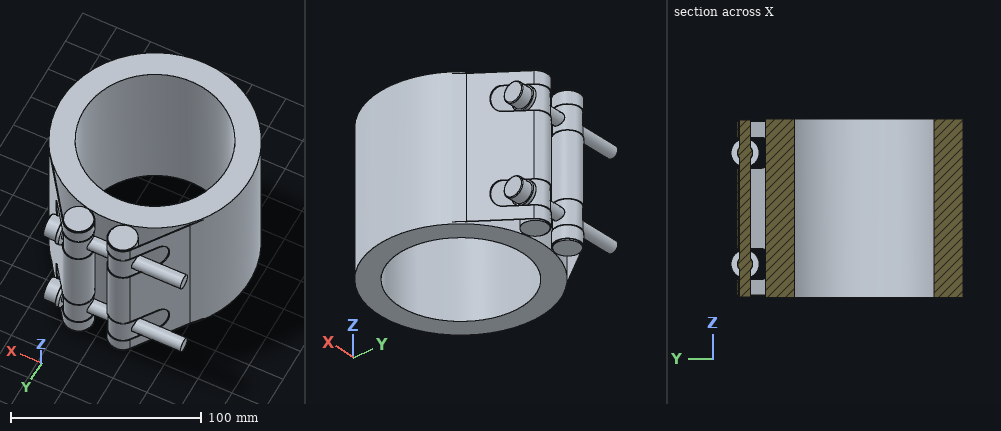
import cadquery as cq
import math

tube_diameter = 111.9
bore_diameter = 84.0
tube_height = 94.0
tube_radius = tube_diameter / 2

pin_diameter = 16.0
pin_height = 93.3
pin_x = 13.1
strap_thickness = 0.5
strap_height = 91.5
overall_depth = 127.1
pin_radius = pin_diameter / 2
loop_radius = pin_radius + strap_thickness
pin_y = overall_depth - tube_radius - loop_radius

slot_width = 16.0
slot_end_depth = 5.2
slot_straight_end_y = 54.1

bolt_z = 29.2
rod_diameter = 8.0
rod_start_x = -49.1
washer_diameter = 15.0
washer_thickness = 2.0
head_diameter = 13.0
head_length = 7.9
head_chamfer = 0.5
washer_x = pin_x + pin_radius
head_x = washer_x + washer_thickness


def polar(center, radius, angle):
    return (center[0] + radius * math.cos(angle), center[1] + radius * math.sin(angle))


def make_tube():
    ring = cq.Workplane("XY").circle(tube_radius).circle(bore_diameter / 2)
    return ring.extrude(tube_height / 2, both=True)


def make_pin():
    return cq.Workplane("XY").center(pin_x, pin_y).circle(pin_radius).extrude(pin_height / 2, both=True)


def make_strap():
    """Right strap end: tangent to the tube, then looped over the pin and back to the tube."""
    tube_center = (0, 0)
    pin_center = (pin_x, pin_y)
    pin_direction = math.atan2(pin_y, pin_x)
    normal = pin_direction - math.acos((tube_radius - loop_radius) / math.hypot(pin_x, pin_y))
    loop_end = pin_direction + math.pi
    loop_middle = (normal + loop_end) / 2
    profile = (
        cq.Workplane("XY")
        .moveTo(*polar(tube_center, tube_radius, normal))
        .lineTo(*polar(pin_center, loop_radius, normal))
        .threePointArc(polar(pin_center, loop_radius, loop_middle), polar(pin_center, loop_radius, loop_end))
        .lineTo(*polar(pin_center, pin_radius, loop_end))
        .threePointArc(polar(pin_center, pin_radius, loop_middle), polar(pin_center, pin_radius, normal))
        .lineTo(*polar(tube_center, tube_radius - strap_thickness, normal))
        .close()
    )
    return profile.extrude(strap_height / 2, both=True)


def make_slot(z):
    """Cutter along X, open over the top of the pin and closed by a half ellipse near the tube."""
    half_width = slot_width / 2
    top_y = pin_y + pin_diameter
    return (
        cq.Workplane("YZ")
        .moveTo(top_y, z - half_width)
        .lineTo(top_y, z + half_width)
        .lineTo(slot_straight_end_y, z + half_width)
        .lineTo(slot_straight_end_y, z - half_width)
        .close()
        .extrude(tube_radius, both=True)
        .union(
            cq.Workplane("YZ")
            .center(slot_straight_end_y, z)
            .ellipse(slot_end_depth, half_width)
            .extrude(tube_radius, both=True)
        )
    )


def make_bolt(z):
    def disc(x, diameter, length):
        return cq.Workplane("YZ", origin=(x, pin_y, z)).circle(diameter / 2).extrude(length)

    rod = disc(rod_start_x, rod_diameter, head_x - rod_start_x)
    washer = disc(washer_x, washer_diameter, washer_thickness)
    head = disc(head_x, head_diameter, head_length).faces(">X").chamfer(head_chamfer)
    return rod.union(washer).union(head)


strap = make_strap()
for side in (-1, 1):
    strap = strap.cut(make_slot(side * bolt_z))
clamp_end = strap.union(make_pin())

result = make_tube().union(clamp_end).union(clamp_end.mirror("YZ"))
for side in (-1, 1):
    result = result.union(make_bolt(side * bolt_z))